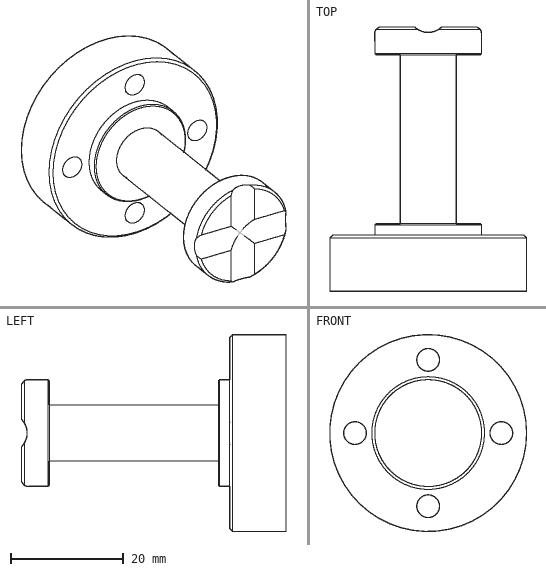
import cadquery as cq

total_length = 47.0
flange_diameter = 35.0
flange_thickness = 10.0
collar_diameter = 19.0
collar_thickness = 2.0
shaft_diameter = 10.0
head_thickness = 5.0
edge_chamfer = 0.5
small_chamfer = 0.25

recess_depth = 3.0
bolt_hole_diameter = 4.0
bolt_circle_diameter = 26.0
bolt_hole_count = 4

groove_diameter = 7.0
groove_depth = 1.0

flange_face = -total_length / 2
flange_back = flange_face + flange_thickness
collar_back = flange_back + collar_thickness
head_end = total_length / 2
head_front = head_end - head_thickness


def disc(diameter, start, end):
    """Cylinder on the part axis between two Y stations."""
    plane = cq.Workplane("XZ", origin=(0, start, 0))
    return plane.circle(diameter / 2).extrude(start - end)


def make_body():
    flange = disc(flange_diameter, flange_face, flange_back).faces(">Y").chamfer(edge_chamfer)
    collar = disc(collar_diameter, flange_face, collar_back).faces(">Y").chamfer(small_chamfer)
    shaft = disc(shaft_diameter, flange_face, head_end)
    head = disc(collar_diameter, head_front, head_end)
    head = head.faces(">Y").chamfer(edge_chamfer).faces("<Y").chamfer(small_chamfer)
    return flange.union(collar).union(shaft).union(head)


def make_recess():
    """Blind round recess in the flange face, with a chamfered mouth."""
    recess = disc(collar_diameter, flange_face, flange_face + recess_depth)
    mouth = cq.Solid.makeCone(
        collar_diameter / 2 + edge_chamfer,
        collar_diameter / 2,
        edge_chamfer,
        pnt=cq.Vector(0, flange_face, 0),
        dir=cq.Vector(0, 1, 0),
    )
    return recess.union(cq.Workplane(mouth))


def make_bolt_holes():
    return (
        cq.Workplane("XZ", origin=(0, flange_face, 0))
        .polarArray(bolt_circle_diameter / 2, 0, 360, bolt_hole_count)
        .circle(bolt_hole_diameter / 2)
        .extrude(-flange_thickness)
    )


def make_cross_grooves():
    """Two round-bottomed grooves crossing at right angles on the head end."""
    groove_axis = head_end - groove_depth + groove_diameter / 2
    along_z = (
        cq.Workplane("XY")
        .center(0, groove_axis)
        .circle(groove_diameter / 2)
        .extrude(collar_diameter, both=True)
    )
    along_x = along_z.rotate((0, 0, 0), (0, 1, 0), 90)
    return along_z.union(along_x)


result = make_body().cut(make_recess()).cut(make_bolt_holes()).cut(make_cross_grooves())